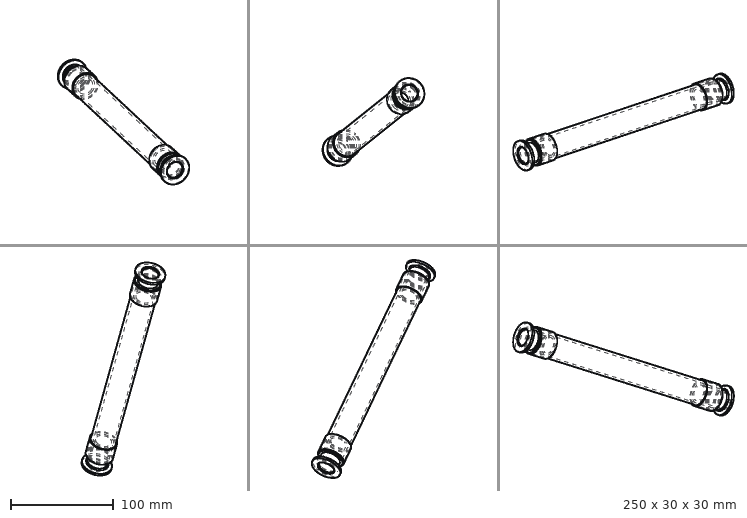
import cadquery as cq

LENGTH = 250.0
HALF_LENGTH = LENGTH / 2

FLANGE_RADIUS = 15.0
RIM_WIDTH = 2.5
CONE_END_DEPTH = 3.5
CONE_END_RADIUS = 11.2
NECK_RADIUS = 10.0
BORE_RADIUS = 8.0
BORE_MOUTH_RADIUS = 8.8
BORE_MOUTH_DEPTH = 1.5

SLEEVE_START_DEPTH = 11.8
SLEEVE_END_DEPTH = 32.0
SLEEVE_RADIUS = 13.8
SLEEVE_CHAMFER = 1.2

TUBE_RADIUS = 12.5
END_CAP_THICKNESS = SLEEVE_CHAMFER
TUBE_START_DEPTH = SLEEVE_START_DEPTH + END_CAP_THICKNESS


def turned(profile):
    """Revolve a profile of X positions and radii around the X axis."""
    return profile.close().revolve(360, (0, 0, 0), (1, 0, 0))


def at_both_ends(body):
    """Return the solid of the -X end and its mirror image at the +X end."""
    return [body.val(), body.mirror("YZ").val()]


def make_tube():
    tube_length = LENGTH - 2 * TUBE_START_DEPTH
    return (
        cq.Workplane("YZ", origin=(-tube_length / 2, 0, 0))
        .circle(TUBE_RADIUS)
        .circle(NECK_RADIUS)
        .extrude(tube_length)
    )


def make_ferrule():
    """Flange with a tapered back and a neck that lines the tube under the sleeve."""
    end = -HALF_LENGTH
    root_chamfer = CONE_END_RADIUS - NECK_RADIUS
    profile = (
        cq.Workplane("XY")
        .moveTo(end, BORE_MOUTH_RADIUS)
        .lineTo(end, FLANGE_RADIUS)
        .lineTo(end + RIM_WIDTH, FLANGE_RADIUS)
        .lineTo(end + CONE_END_DEPTH, CONE_END_RADIUS)
        .lineTo(end + CONE_END_DEPTH + root_chamfer, NECK_RADIUS)
        .lineTo(end + SLEEVE_END_DEPTH, NECK_RADIUS)
        .lineTo(end + SLEEVE_END_DEPTH, BORE_RADIUS)
        .lineTo(end + BORE_MOUTH_DEPTH, BORE_RADIUS)
        .lineTo(end + BORE_MOUTH_DEPTH, BORE_MOUTH_RADIUS)
    )
    return turned(profile)


def make_sleeve():
    """Sleeve around the tube, closed down to the ferrule neck at its outer end."""
    start = SLEEVE_START_DEPTH - HALF_LENGTH
    end = SLEEVE_END_DEPTH - HALF_LENGTH
    tube_start = TUBE_START_DEPTH - HALF_LENGTH
    profile = (
        cq.Workplane("XY")
        .moveTo(start, NECK_RADIUS)
        .lineTo(start, SLEEVE_RADIUS - SLEEVE_CHAMFER)
        .lineTo(start + SLEEVE_CHAMFER, SLEEVE_RADIUS)
        .lineTo(end, SLEEVE_RADIUS)
        .lineTo(end, TUBE_RADIUS)
        .lineTo(tube_start, TUBE_RADIUS)
        .lineTo(tube_start, NECK_RADIUS)
    )
    return turned(profile)


tube = make_tube()
ferrules = at_both_ends(make_ferrule())
sleeves = at_both_ends(make_sleeve())

result = cq.Compound.makeCompound([tube.val(), *ferrules, *sleeves])